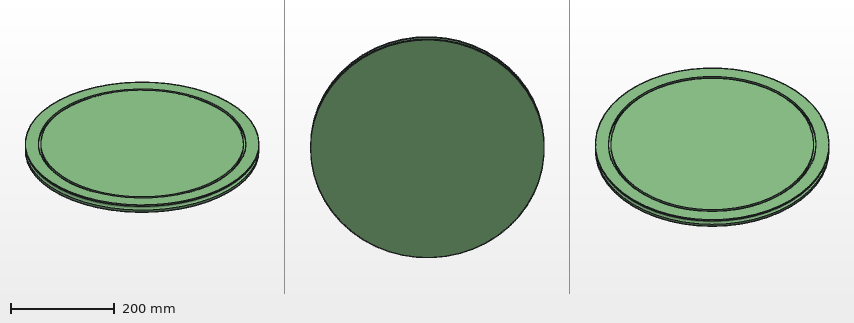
import cadquery as cq

outer_radius = 225.0
thickness = 17.0

rim_groove_radius = 4.0
rim_groove_bottom = 5.5
rim_groove_middle = rim_groove_bottom + rim_groove_radius
rim_groove_top = rim_groove_middle + rim_groove_radius

channel_outer_radius = 200.0
channel_width = 4.5
channel_inner_radius = channel_outer_radius - channel_width
channel_depth = 5.0


def make_disc():
    """Revolve the half section, with an arc for the rim groove, about Z."""
    section = (
        cq.Workplane("XZ")
        .lineTo(outer_radius, 0)
        .lineTo(outer_radius, rim_groove_bottom)
        .threePointArc(
            (outer_radius - rim_groove_radius, rim_groove_middle),
            (outer_radius, rim_groove_top),
        )
        .lineTo(outer_radius, thickness)
        .lineTo(0, thickness)
        .close()
    )
    return section.revolve(360, (0, 0), (0, 1))


def make_channel():
    """Ring removed from the top face."""
    return (
        cq.Workplane("XY")
        .workplane(offset=thickness - channel_depth)
        .circle(channel_outer_radius)
        .circle(channel_inner_radius)
        .extrude(channel_depth)
    )


result = make_disc().cut(make_channel())